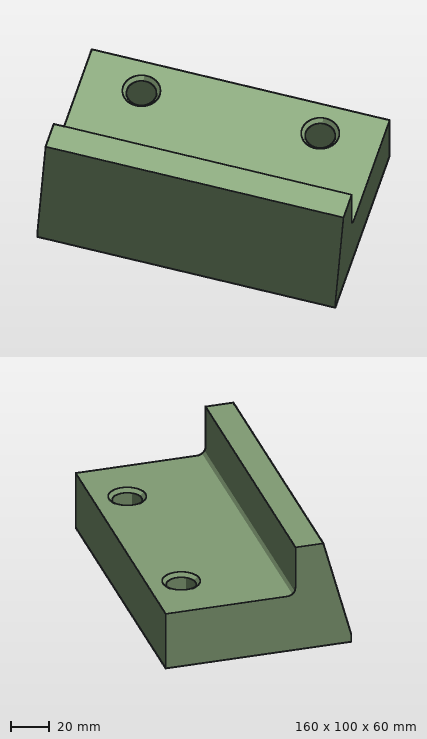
import cadquery as cq

length = 160.0
depth = 100.0
height = 60.0

base_height = 32.0
wall_top_width = 15.0
wall_setback = 15.0
lip_height = 4.5
root_fillet = 4.5

hole_spacing = 96.0
hole_back_offset = 18.0
hole_diameter = 15.5
hole_chamfer = 2.0

wall_back = wall_setback + wall_top_width
hole_y = depth - hole_back_offset


def make_body():
    """L-shaped section in the YZ plane, extruded along X, front face at Y = 0."""
    return (
        cq.Workplane("YZ")
        .moveTo(0, 0)
        .lineTo(depth, 0)
        .lineTo(depth, base_height)
        .lineTo(wall_back + root_fillet, base_height)
        .radiusArc((wall_back, base_height + root_fillet), root_fillet)
        .lineTo(wall_back, height)
        .lineTo(wall_setback, height)
        .lineTo(0, lip_height)
        .close()
        .extrude(length)
    )


def make_hole_cutter():
    """Through hole with a 45 degree chamfer at the top face of the base."""
    radius = hole_diameter / 2
    return (
        cq.Workplane("XZ")
        .moveTo(0, 0)
        .lineTo(radius, 0)
        .lineTo(radius, base_height - hole_chamfer)
        .lineTo(radius + hole_chamfer, base_height)
        .lineTo(0, base_height)
        .close()
        .revolve(360, (0, 0, 0), (0, 1, 0))
    )


result = make_body()
for side in (-1, 1):
    hole_x = length / 2 + side * hole_spacing / 2
    result = result.cut(make_hole_cutter().translate((hole_x, hole_y, 0)))